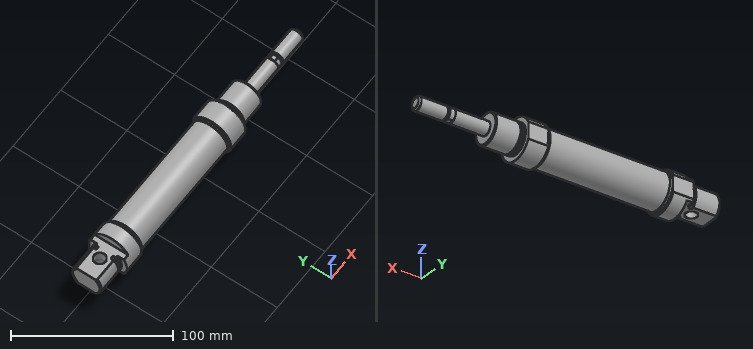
import cadquery as cq

TOTAL_LENGTH = 221.5

CAP_DIAMETER = 30.0
CAP_WIDTH = 28.5
CAP_FLAT_Y = CAP_WIDTH - CAP_DIAMETER / 2
LIP_DIAMETER = 27.0
SPIGOT_DIAMETER = 22.2
GROOVE_DIAMETER = 19.5
SPIGOT_CHAMFER = 0.7

EYE_CHAMFER = 0.9
EYE_THICKNESS = 16.0
EYE_HOLE_DIAMETER = 8.5
EYE_HOLE_X = 14.2
EYE_FLAT_END = 26.4
REAR_GROOVE_START = 18.2
REAR_GROOVE_END = 20.4
REAR_HEAD_START = 22.0
REAR_HEAD_END = 37.7
REAR_HEAD_CHAMFER = 0.5

TUBE_DIAMETER = 26.5
TUBE_START = 39.6
TUBE_END = 129.4

FRONT_HEAD_START = 131.1
FRONT_HEAD_END = 146.2
FRONT_GROOVE_START = 147.5
FRONT_GROOVE_END = 149.5
FRONT_SPIGOT_END = 168.5

ROD_DIAMETER = 10.0
WRENCH_START = 194.5
WRENCH_END = 198.5
WRENCH_DIAMETER = 9.7
WRENCH_WIDTH = 8.9
RELIEF_DIAMETER = 8.9
RELIEF_END = 199.8
ROD_CHAMFER = 1.3


def cylinder(start, end, diameter):
    """Solid cylinder on the X axis between two X positions."""
    return cq.Workplane("YZ", origin=(start, 0, 0)).circle(diameter / 2).extrude(end - start)


def block(start, end, y_min, y_max, z_min, z_max):
    """Axis-aligned box given by its limits."""
    box = cq.Workplane("XY").box(end - start, y_max - y_min, z_max - z_min, centered=False)
    return box.translate((start, y_min, z_min))


def cut_cap_flat(cap):
    """Plane off the +Y side of a cap."""
    reach = CAP_DIAMETER
    return cap.cut(block(0, TOTAL_LENGTH, CAP_FLAT_Y, reach, -reach, reach))


def cut_eye(cap):
    """Mill the rear spigot to the eye thickness and drill the cross hole along Z."""
    reach = CAP_DIAMETER
    half = EYE_THICKNESS / 2
    cap = cap.cut(block(0, EYE_FLAT_END, -reach, reach, half, reach))
    cap = cap.cut(block(0, EYE_FLAT_END, -reach, reach, -reach, -half))
    hole = cq.Workplane("XY").center(EYE_HOLE_X, 0).circle(EYE_HOLE_DIAMETER / 2).extrude(reach, both=True)
    return cap.cut(hole)


def make_rear_cap():
    spigot = cylinder(0, REAR_GROOVE_START, SPIGOT_DIAMETER).faces("<X").chamfer(EYE_CHAMFER)
    groove = cylinder(REAR_GROOVE_START, REAR_GROOVE_END, GROOVE_DIAMETER)
    collar = cylinder(REAR_GROOVE_END, REAR_HEAD_START, SPIGOT_DIAMETER).faces("<X").chamfer(SPIGOT_CHAMFER)
    head = cylinder(REAR_HEAD_START, REAR_HEAD_END, CAP_DIAMETER).faces(">X").chamfer(REAR_HEAD_CHAMFER)
    lip = cylinder(REAR_HEAD_END, TUBE_START, LIP_DIAMETER)
    turned = spigot.union(groove).union(collar).union(head).union(lip)
    return cut_eye(cut_cap_flat(turned))


def make_tube():
    return cylinder(TUBE_START, TUBE_END, TUBE_DIAMETER)


def make_front_cap():
    lip = cylinder(TUBE_END, FRONT_HEAD_START, LIP_DIAMETER)
    head = cylinder(FRONT_HEAD_START, FRONT_HEAD_END, CAP_DIAMETER)
    collar = cylinder(FRONT_HEAD_END, FRONT_GROOVE_START, SPIGOT_DIAMETER)
    groove = cylinder(FRONT_GROOVE_START, FRONT_GROOVE_END, GROOVE_DIAMETER)
    spigot = cylinder(FRONT_GROOVE_END, FRONT_SPIGOT_END, SPIGOT_DIAMETER)
    spigot = spigot.faces("<X or >X").chamfer(SPIGOT_CHAMFER)
    turned = lip.union(head).union(collar).union(groove).union(spigot)
    return cut_cap_flat(turned)


def make_rod():
    shank = cylinder(FRONT_SPIGOT_END, WRENCH_START, ROD_DIAMETER)
    half = WRENCH_WIDTH / 2
    between_flats = block(WRENCH_START, WRENCH_END, -ROD_DIAMETER, ROD_DIAMETER, -half, half)
    wrench = cylinder(WRENCH_START, WRENCH_END, WRENCH_DIAMETER).intersect(between_flats)
    relief = cylinder(WRENCH_END, RELIEF_END, RELIEF_DIAMETER)
    thread = cylinder(RELIEF_END, TOTAL_LENGTH, ROD_DIAMETER).faces(">X").chamfer(ROD_CHAMFER)
    return shank.union(wrench).union(relief).union(thread)


rear_cap = make_rear_cap()
tube = make_tube()
front_cap = make_front_cap()
rod = make_rod()

bodies = [rear_cap, tube, front_cap, rod]
result = cq.Compound.makeCompound([body.solids().val() for body in bodies])